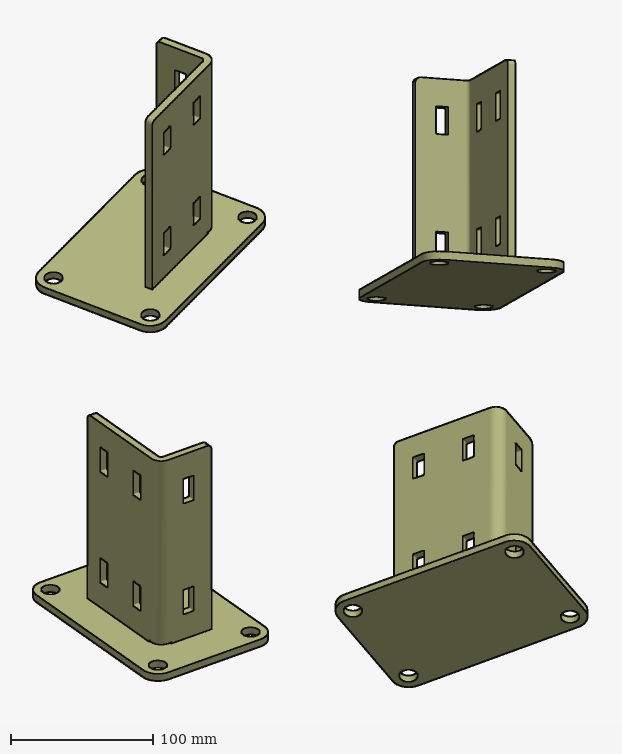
import cadquery as cq

plate_width = 105.0
plate_depth = 155.0
sheet = 6.0
plate_corner_radius = 13.0
hole_diameter = 13.0
hole_inset = 12.5

total_height = 156.0
angle_left = -20.0
angle_right = 26.0
angle_front = -40.0
angle_back = 46.0
bend_inner_radius = 2.7
bend_outer_radius = bend_inner_radius + sheet
free_corner_radius = 3.9

relief_reach = 11.2
relief_height = 1.0

slot_width = 9.0
slot_height = 20.0
slot_corner_radius = 1.0
upper_slot_drop = 30.0
slot_pitch_z = 90.0
slot_offset_y = 20.0

upper_slot_z = total_height - upper_slot_drop
slot_levels = (upper_slot_z, upper_slot_z - slot_pitch_z)
angle_width = angle_right - angle_left
angle_depth = angle_back - angle_front
angle_height = total_height - sheet


def make_plate():
    return (
        cq.Workplane("XY")
        .rect(plate_width, plate_depth)
        .extrude(sheet)
        .edges("|Z")
        .fillet(plate_corner_radius)
        .faces(">Z")
        .workplane()
        .rect(plate_width - 2 * hole_inset, plate_depth - 2 * hole_inset, forConstruction=True)
        .vertices()
        .hole(hole_diameter)
    )


def make_angle():
    outer = (
        cq.Workplane("XY", origin=(angle_left, angle_front, sheet))
        .rect(angle_width, angle_depth, centered=False)
        .extrude(angle_height)
        .edges("|Z and >X and >Y")
        .fillet(bend_outer_radius)
    )
    inner = (
        cq.Workplane("XY", origin=(angle_left, angle_front, sheet))
        .rect(angle_width - sheet, angle_depth - sheet, centered=False)
        .extrude(angle_height)
        .edges("|Z and >X and >Y")
        .fillet(bend_inner_radius)
    )
    angle = outer.cut(inner)
    angle = angle.faces("<X").edges(">Z").fillet(free_corner_radius)
    return angle.faces("<Y").edges(">Z").fillet(free_corner_radius)


def make_relief():
    return cq.Workplane("XY").box(
        relief_reach, relief_reach, relief_height, centered=False
    ).translate((angle_right - relief_reach, angle_back - relief_reach, sheet))


def make_back_slot(z):
    """Slot cutter through the leg that lies along X."""
    return (
        cq.Workplane("XY")
        .box(slot_width, sheet, slot_height)
        .edges("|Y")
        .fillet(slot_corner_radius)
        .translate((0, angle_back - sheet / 2, z))
    )


def make_side_slot(y, z):
    """Slot cutter through the leg that lies along Y."""
    return (
        cq.Workplane("XY")
        .box(sheet, slot_width, slot_height)
        .edges("|X")
        .fillet(slot_corner_radius)
        .translate((angle_right - sheet / 2, y, z))
    )


angle = make_angle().cut(make_relief())
for level in slot_levels:
    angle = angle.cut(make_back_slot(level))
    for side in (-1, 1):
        angle = angle.cut(make_side_slot(side * slot_offset_y, level))

result = make_plate().union(angle)